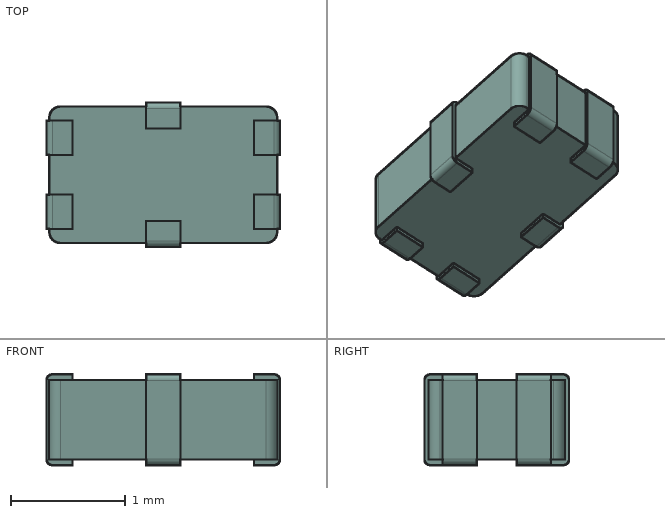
import cadquery as cq

overall_length = 2.05
overall_width = 1.27
overall_height = 0.8

body_length = 2.0
body_width = 1.2
body_height = 0.701
body_corner_radius = 0.1

terminal_width = 0.3
terminal_reach = 0.23
terminal_edge_radius = 0.055
end_terminal_pitch = 0.65


def make_body():
    """Plain block with rounded vertical corners, centred on the origin."""
    block = cq.Workplane("XY").box(body_length, body_width, body_height)
    return block.edges("|Z").fillet(body_corner_radius)


def make_end_terminal(side, y):
    """Clip on an X end; side is -1 or 1. The part inside the body merges with it."""
    x = side * (overall_length - terminal_reach) / 2
    clip = cq.Workplane("XY").box(terminal_reach, terminal_width, overall_height)
    outer_edges = "|Y and >X" if side > 0 else "|Y and <X"
    return clip.edges(outer_edges).fillet(terminal_edge_radius).translate((x, y, 0))


def make_side_terminal(side):
    """Clip at the middle of a long side; side is -1 or 1."""
    y = side * (overall_width - terminal_reach) / 2
    clip = cq.Workplane("XY").box(terminal_width, terminal_reach, overall_height)
    outer_edges = "|X and >Y" if side > 0 else "|X and <Y"
    return clip.edges(outer_edges).fillet(terminal_edge_radius).translate((0, y, 0))


result = make_body()
for side in (-1, 1):
    result = result.union(make_side_terminal(side))
    for y in (-end_terminal_pitch / 2, end_terminal_pitch / 2):
        result = result.union(make_end_terminal(side, y))